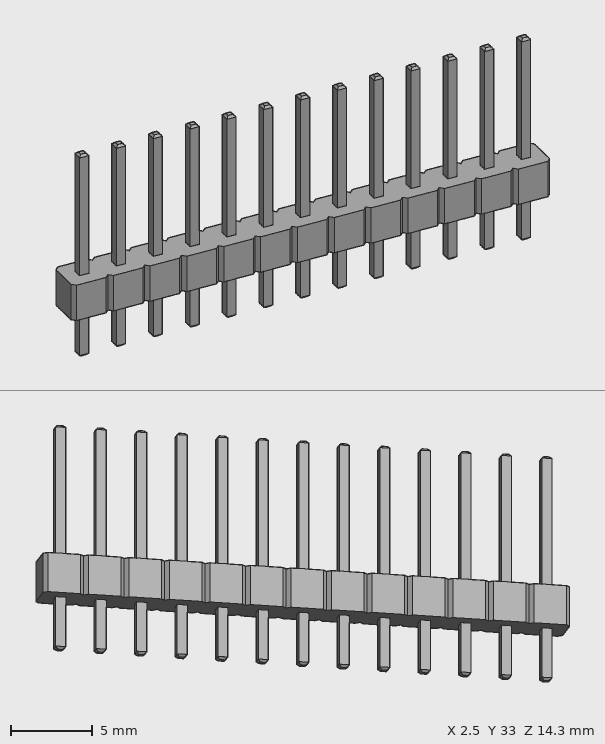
import cadquery as cq

PIN_COUNT = 13
STRIP_LENGTH = 33.02
PITCH = STRIP_LENGTH / PIN_COUNT
STRIP_WIDTH = 2.5
STRIP_HEIGHT = 2.5
CORNER_CHAMFER = 0.25

PIN_SIZE = PITCH / 4
PIN_ABOVE = 8.5
PIN_BELOW = 3.3
PIN_LENGTH = PIN_BELOW + STRIP_HEIGHT + PIN_ABOVE
PIN_TIP_CHAMFER = 0.15


def make_cell(y):
    """One pitch of the strip; the chamfers of neighbours form the V notches."""
    cell = cq.Workplane("XY").box(STRIP_WIDTH, PITCH, STRIP_HEIGHT, centered=(True, True, False))
    return cell.edges("|Z").chamfer(CORNER_CHAMFER).translate((0, y, 0))


def make_pin(y):
    """A square pin with both ends chamfered."""
    pin = cq.Workplane("XY").box(PIN_SIZE, PIN_SIZE, PIN_LENGTH, centered=(True, True, False))
    return pin.faces("<Z or >Z").chamfer(PIN_TIP_CHAMFER).translate((0, y, -PIN_BELOW))


pin_positions = [(index - (PIN_COUNT - 1) / 2) * PITCH for index in range(PIN_COUNT)]

result = make_cell(pin_positions[0])
for y in pin_positions[1:]:
    result = result.union(make_cell(y))
for y in pin_positions:
    result = result.union(make_pin(y))
result = result.clean()